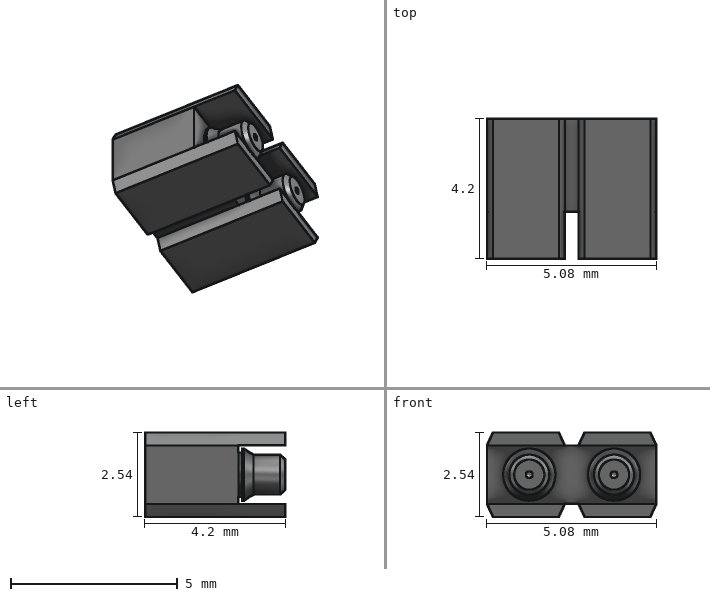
import cadquery as cq

width = 5.08
depth = 4.2
height = 2.54

plate_width = 2.335
plate_bevel = 0.185
plate_thickness = 0.39

pin_length = 1.4
body_height = height - 2 * plate_thickness
body_front = pin_length - depth / 2

pin_spacing = width / 2
neck_radius = 0.67
neck_length = 0.1
flange_radius = 0.78
flange_length = 0.06
flare_length = 0.295
flare_hollow = 0.01
shank_radius = 0.6
tip_radius = 0.45
tip_length = 0.16
tip_bulge = 0.005
dimple_radius = 0.1
dimple_depth = 0.04


def make_body():
    """Rectangular block joining the two sides."""
    body_depth = depth - pin_length
    return cq.Workplane("XY").box(width, body_depth, body_height).translate((0, pin_length / 2, 0))


def make_plate(side_x, side_z):
    """Full-depth plate that narrows away from the body."""
    inner_z = side_z * body_height / 2
    outer_z = side_z * height / 2
    outer_edge = side_x * width / 2
    inner_edge = side_x * (width / 2 - plate_width)
    bevel = side_x * plate_bevel
    return (
        cq.Workplane("XZ", origin=(0, depth / 2, 0))
        .moveTo(outer_edge, inner_z)
        .lineTo(outer_edge - bevel, outer_z)
        .lineTo(inner_edge + bevel, outer_z)
        .lineTo(inner_edge, inner_z)
        .close()
        .extrude(depth)
    )


def make_pin(center_x):
    """Revolved pin: neck, flange, hollow flare, shank, crowned tip and conical dimple."""
    flange_start = body_front - neck_length
    flare_start = flange_start - flange_length
    flare_end = flare_start - flare_length
    tip_end = -depth / 2
    tip_start = tip_end + tip_length
    flare_middle = ((flange_radius + shank_radius) / 2 - flare_hollow, (flare_start + flare_end) / 2)
    tip_middle = ((shank_radius + tip_radius) / 2 + tip_bulge, (tip_start + tip_end) / 2)
    profile = (
        cq.Workplane("XY")
        .moveTo(0, body_front)
        .lineTo(neck_radius, body_front)
        .lineTo(neck_radius, flange_start)
        .lineTo(flange_radius, flange_start)
        .lineTo(flange_radius, flare_start)
        .threePointArc(flare_middle, (shank_radius, flare_end))
        .lineTo(shank_radius, tip_start)
        .threePointArc(tip_middle, (tip_radius, tip_end))
        .lineTo(dimple_radius, tip_end)
        .lineTo(0, tip_end + dimple_depth)
        .close()
    )
    return profile.revolve(360, (0, 0, 0), (0, 1, 0)).translate((center_x, 0, 0))


result = make_body()
for side_x in (-1, 1):
    for side_z in (-1, 1):
        result = result.union(make_plate(side_x, side_z))
    result = result.union(make_pin(side_x * pin_spacing / 2))